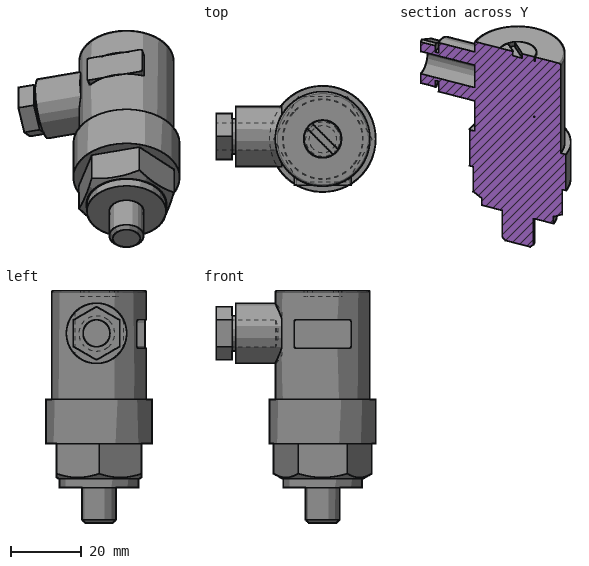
import cadquery as cq
import math


overall_height = 65.5
stem_height = 10.0
flange_height = 2.5
hex_height = 9.9
collar_height = 12.5

flange_z = stem_height
hex_z = flange_z + flange_height
collar_z = hex_z + hex_height
body_z = collar_z + collar_height
body_height = overall_height - body_z

stem_diameter = 9.7
stem_chamfer = 1.0
flange_diameter = 22.3
collar_diameter = 30.0
body_diameter = 26.7
body_edge_fillet = 0.5

hex_across_flats = 24.0
hex_cone_base_diameter = 22.7
hex_cone_angle = 30.0

screw_recess_diameter = 10.7
screw_clearance = 0.1
slot_width = 2.0
slot_depth = 1.5
slot_angle = -45.0

gland_y = 0.7
gland_z = 53.5
gland_tip_x = -30.0
nut_length = 4.5
neck_length = 1.0
tube_length = 13.0
tube_diameter = 17.0
neck_diameter = 10.0
nut_across_flats = 13.0
bore_diameter = 7.6

plate_width = 16.0
plate_height = 8.0
plate_center_z = 53.3
plate_face_y = -13.0
plate_corner_radius = 0.5


def across_corners(across_flats):
    """Corner-to-corner size of a regular hexagon."""
    return across_flats / math.cos(math.radians(30))


def disc(diameter, height, base_z):
    """Upright cylinder on the main axis."""
    return cq.Workplane("XY").workplane(offset=base_z).circle(diameter / 2).extrude(height)


def make_stem():
    return disc(stem_diameter, stem_height, 0).faces("<Z").chamfer(stem_chamfer)


def make_wrench_hex():
    """Hexagon with corners on X, its lower corners turned off by a cone."""
    corner_size = across_corners(hex_across_flats)
    prism = cq.Workplane("XY").workplane(offset=hex_z).polygon(6, corner_size).extrude(hex_height)
    corner_radius = corner_size / 2
    cone_radius = hex_cone_base_diameter / 2
    cone_height = (corner_radius - cone_radius) * math.tan(math.radians(hex_cone_angle))
    envelope = (
        cq.Workplane("XZ")
        .moveTo(0, hex_z)
        .lineTo(cone_radius, hex_z)
        .lineTo(corner_radius, hex_z + cone_height)
        .lineTo(corner_radius, collar_z)
        .lineTo(0, collar_z)
        .close()
        .revolve(360, (0, 0), (0, 1))
    )
    return prism.intersect(envelope)


def make_body():
    return disc(body_diameter, body_height, body_z).faces(">Z").edges().fillet(body_edge_fillet)


def add_label_plate(body):
    """Flatten the body at the plate face and fill the plate out to its full width."""
    plate = (
        cq.Workplane("XZ")
        .center(0, plate_center_z)
        .rect(plate_width, plate_height)
        .extrude(-plate_face_y)
        .edges("|Y")
        .fillet(plate_corner_radius)
    )
    relief_depth = body_diameter / 2 + plate_face_y
    relief = (
        cq.Workplane("XZ", origin=(0, plate_face_y, plate_center_z))
        .rect(plate_width, plate_height)
        .extrude(relief_depth)
        .edges("|Y")
        .fillet(plate_corner_radius)
    )
    return body.cut(relief).union(plate)


def make_screw_cut():
    """Clearance ring around the screw head plus the slot across it, both to the same depth."""
    floor_z = overall_height - slot_depth
    recess = disc(screw_recess_diameter, slot_depth, floor_z)
    head = disc(screw_recess_diameter - 2 * screw_clearance, slot_depth, floor_z)
    slot = (
        cq.Workplane("XY")
        .workplane(offset=floor_z)
        .rect(screw_recess_diameter, slot_width)
        .extrude(slot_depth)
        .rotate((0, 0, 0), (0, 0, 1), slot_angle)
    )
    return recess.cut(head.cut(slot))


def gland_plane(x):
    """Plane facing +X on the gland axis; local X is world Y, local Y is world Z."""
    return cq.Workplane("YZ", origin=(x, gland_y, gland_z))


def make_gland():
    """Hexagonal nut, neck and tube, bored through up to the body wall."""
    neck_x = gland_tip_x + nut_length
    tube_x = neck_x + neck_length
    nut = (
        gland_plane(gland_tip_x)
        .transformed(rotate=(0, 0, 90))
        .polygon(6, across_corners(nut_across_flats))
        .extrude(nut_length)
    )
    neck = gland_plane(neck_x).circle(neck_diameter / 2).extrude(neck_length)
    tube = gland_plane(tube_x).circle(tube_diameter / 2).extrude(tube_length)
    bore_length = nut_length + neck_length + tube_length
    bore = gland_plane(gland_tip_x).circle(bore_diameter / 2).extrude(bore_length)
    return nut.union(neck).union(tube).cut(bore)


result = (
    add_label_plate(make_body())
    .cut(make_screw_cut())
    .union(disc(collar_diameter, collar_height, collar_z))
    .union(make_wrench_hex())
    .union(disc(flange_diameter, flange_height, flange_z))
    .union(make_stem())
    .union(make_gland())
)